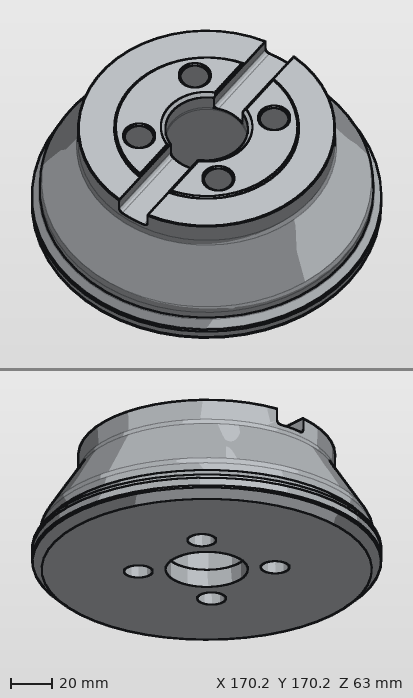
import cadquery as cq

OUTER_DIA = 170.2
TOTAL_HEIGHT = 63.0

PLATE_HEIGHT = 9.2
PLATE_BOTTOM_DIA = 160.6
PLATE_BEVEL_HEIGHT = 4.0
PLATE_EDGE_HEIGHT = 1.0
PLATE_EDGE_INSET = 0.3

RIM_WALL_TOP = 10.9
RIM_EDGE_BREAK = 0.3
LEDGE_DIA = 163.5
LEDGE_BOTTOM = 14.6
LEDGE_TOP = 15.1

SHOULDER_DIA = 162.3
SHOULDER_TOP = 20.8
SHOULDER_FILLET = 5.8
FLANGE_DIA = 125.0
FLANGE_BOTTOM = 49.9
FLANGE_FILLET = 5.0
FLANGE_CHAMFER = 0.3
BOSS_DIA = 90.0
BOSS_HEIGHT = 1.0
BOSS_CHAMFER = 0.9
FLANGE_TOP = TOTAL_HEIGHT - BOSS_HEIGHT

SLOT_WIDTH = 16.8
SLOT_DEPTH = 9.2
SLOT_FILLET = 2.0
SLOT_FLOOR = TOTAL_HEIGHT - SLOT_DEPTH

BORE_DIA = 40.0
BORE_TOP_DIA = 40.2
BORE_STEP_HEIGHT = 1.2
BORE_MOUTH_DIA = 44.5
BORE_CHAMFER_DEPTH = 1.5

BOLT_HOLE_DIA = 14.0
BOLT_HOLE_CHAMFER = 0.9
BOLT_HOLE_SPACING = 47.1


def revolve_profile(points):
    """Revolve a closed outline of (radius, height) points about Z."""
    return cq.Workplane("XZ").polyline(points).close().revolve(360, (0, 0, 0), (0, 1, 0))


def circle_at(body, radius, height):
    """Select the circular edge about Z with this radius and height."""
    margin = 0.2
    return body.edges(
        cq.selectors.BoxSelector(
            (-radius - margin, -radius - margin, height - margin),
            (radius + margin, radius + margin, height + margin),
            boundingbox=True,
        )
    )


def central_bore():
    """Cutter for the stepped bore with its chamfered mouth."""
    return revolve_profile([
        (0, 0),
        (BORE_DIA / 2, 0),
        (BORE_DIA / 2, SLOT_FLOOR - BORE_STEP_HEIGHT),
        (BORE_TOP_DIA / 2, SLOT_FLOOR),
        (BORE_TOP_DIA / 2, TOTAL_HEIGHT - BORE_CHAMFER_DEPTH),
        (BORE_MOUTH_DIA / 2, TOTAL_HEIGHT),
        (0, TOTAL_HEIGHT),
    ])


def bolt_holes():
    """Cutters for the four through holes, chamfered at the top."""
    radius = BOLT_HOLE_DIA / 2
    hole = revolve_profile([
        (0, 0),
        (radius, 0),
        (radius, TOTAL_HEIGHT - BOLT_HOLE_CHAMFER),
        (radius + BOLT_HOLE_CHAMFER, TOTAL_HEIGHT),
        (0, TOTAL_HEIGHT),
    ]).val()
    return (
        cq.Workplane("XY")
        .rect(BOLT_HOLE_SPACING, BOLT_HOLE_SPACING, forConstruction=True)
        .vertices()
        .eachpoint(lambda place: hole.moved(place))
    )


def driving_slot():
    """Cutter for the slot: round floor corners, flared where it meets the boss."""
    channel = (
        cq.Workplane("XY", origin=(0, 0, SLOT_FLOOR))
        .box(SLOT_WIDTH, OUTER_DIA, 2 * SLOT_DEPTH, centered=(True, True, False))
        .edges("<Z and |Y")
        .fillet(SLOT_FILLET)
    )
    half_width = SLOT_WIDTH / 2
    flare = (
        cq.Workplane("XZ")
        .polyline([
            (-half_width, TOTAL_HEIGHT - BOSS_CHAMFER),
            (half_width, TOTAL_HEIGHT - BOSS_CHAMFER),
            (half_width + BOSS_CHAMFER, TOTAL_HEIGHT),
            (-half_width - BOSS_CHAMFER, TOTAL_HEIGHT),
        ])
        .close()
        .extrude(BOSS_DIA / 2, both=True)
    )
    return channel.union(flare)


def make_plate():
    """Lower body: a bevelled disc under the hub."""
    outer = OUTER_DIA / 2
    disc = revolve_profile([
        (0, 0),
        (PLATE_BOTTOM_DIA / 2, 0),
        (outer - PLATE_EDGE_INSET, PLATE_BEVEL_HEIGHT),
        (outer, PLATE_BEVEL_HEIGHT + PLATE_EDGE_HEIGHT),
        (outer, PLATE_HEIGHT),
        (0, PLATE_HEIGHT),
    ])
    return disc.cut(central_bore()).cut(bolt_holes())


def make_hub():
    """Upper body: rim, cone, flange and boss, with bore, holes and slot."""
    outer = OUTER_DIA / 2
    shoulder = SHOULDER_DIA / 2
    flange = FLANGE_DIA / 2
    boss = BOSS_DIA / 2
    hub = revolve_profile([
        (0, PLATE_HEIGHT),
        (outer, PLATE_HEIGHT),
        (outer, RIM_WALL_TOP),
        (outer - RIM_EDGE_BREAK, RIM_WALL_TOP + RIM_EDGE_BREAK),
        (LEDGE_DIA / 2, LEDGE_BOTTOM),
        (shoulder, LEDGE_TOP),
        (shoulder, SHOULDER_TOP),
        (flange, FLANGE_BOTTOM),
        (flange, FLANGE_TOP - FLANGE_CHAMFER),
        (flange - FLANGE_CHAMFER, FLANGE_TOP),
        (boss, FLANGE_TOP),
        (boss, TOTAL_HEIGHT - BOSS_CHAMFER),
        (boss - BOSS_CHAMFER, TOTAL_HEIGHT),
        (0, TOTAL_HEIGHT),
    ])
    hub = circle_at(hub, shoulder, SHOULDER_TOP).fillet(SHOULDER_FILLET)
    hub = circle_at(hub, flange, FLANGE_BOTTOM).fillet(FLANGE_FILLET)
    return hub.cut(central_bore()).cut(bolt_holes()).cut(driving_slot())


plate = make_plate()
hub = make_hub()

result = cq.Compound.makeCompound([plate.val(), hub.val()])